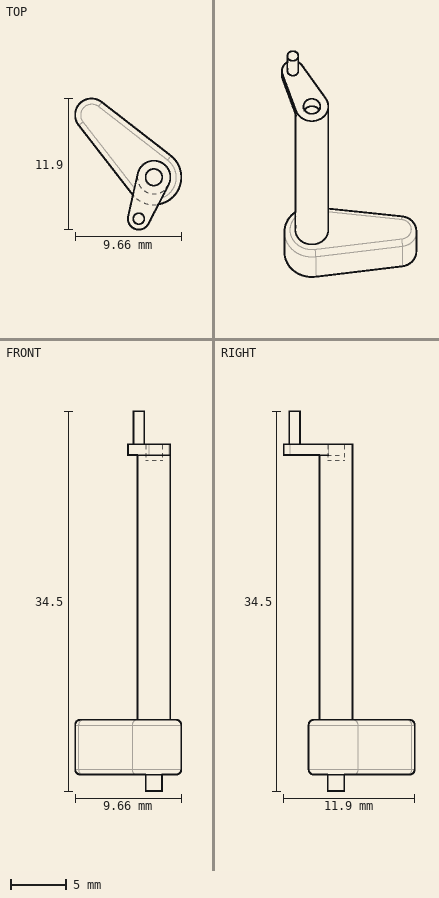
import cadquery as cq
import math

PIVOT_LENGTH = 1.5
BODY_HEIGHT = 5.0
SHAFT_LENGTH = 24.0
ARM_THICKNESS = 1.0
TOTAL_HEIGHT = 34.5

BODY_HUB_RADIUS = 2.5
BODY_TIP_RADIUS = 1.5
BODY_REACH = 8.0
BODY_ANGLE = 135.0
BODY_EDGE_RADIUS = 0.5

SHAFT_RADIUS = 1.5
PIVOT_RADIUS = 0.75
BORE_DEPTH = 1.5

ARM_TIP_RADIUS = 1.0
ARM_REACH = 4.0
ARM_ANGLE = 250.0
CRANK_PIN_RADIUS = 0.5

BODY_BOTTOM = PIVOT_LENGTH
BODY_TOP = BODY_BOTTOM + BODY_HEIGHT
ARM_BOTTOM = BODY_TOP + SHAFT_LENGTH
ARM_TOP = ARM_BOTTOM + ARM_THICKNESS


def cylinder(radius, bottom, top, center=(0, 0)):
    """Upright cylinder between two heights."""
    plane = cq.Workplane("XY").workplane(offset=bottom)
    return plane.center(*center).circle(radius).extrude(top - bottom)


def tapered_lever(hub_radius, tip_radius, reach, angle, bottom, height):
    """Plate with a hub arc and a tip arc joined by their common tangents."""
    tangent_cos = (hub_radius - tip_radius) / reach
    tangent_sin = math.sqrt(1 - tangent_cos**2)
    hub_x = hub_radius * tangent_cos
    hub_y = hub_radius * tangent_sin
    tip_x = reach + tip_radius * tangent_cos
    tip_y = tip_radius * tangent_sin
    return (
        cq.Workplane("XY")
        .workplane(offset=bottom)
        .moveTo(hub_x, -hub_y)
        .lineTo(tip_x, -tip_y)
        .threePointArc((reach + tip_radius, 0), (tip_x, tip_y))
        .lineTo(hub_x, hub_y)
        .threePointArc((-hub_radius, 0), (hub_x, -hub_y))
        .close()
        .extrude(height)
        .rotate((0, 0, 0), (0, 0, 1), angle)
    )


body = tapered_lever(
    BODY_HUB_RADIUS, BODY_TIP_RADIUS, BODY_REACH, BODY_ANGLE, BODY_BOTTOM, BODY_HEIGHT
)
body = body.faces("<Z or >Z").edges().fillet(BODY_EDGE_RADIUS)

pivot = cylinder(PIVOT_RADIUS, 0, BODY_BOTTOM)
shaft = cylinder(SHAFT_RADIUS, BODY_TOP, ARM_BOTTOM)

arm = tapered_lever(
    SHAFT_RADIUS, ARM_TIP_RADIUS, ARM_REACH, ARM_ANGLE, ARM_BOTTOM, ARM_THICKNESS
)
arm_direction = math.radians(ARM_ANGLE)
pin_center = (ARM_REACH * math.cos(arm_direction), ARM_REACH * math.sin(arm_direction))
crank_pin = cylinder(CRANK_PIN_RADIUS, ARM_TOP, TOTAL_HEIGHT, pin_center)

bore = cylinder(PIVOT_RADIUS, ARM_TOP - BORE_DEPTH, ARM_TOP)

result = body.union(pivot).union(shaft).union(arm).union(crank_pin).cut(bore)